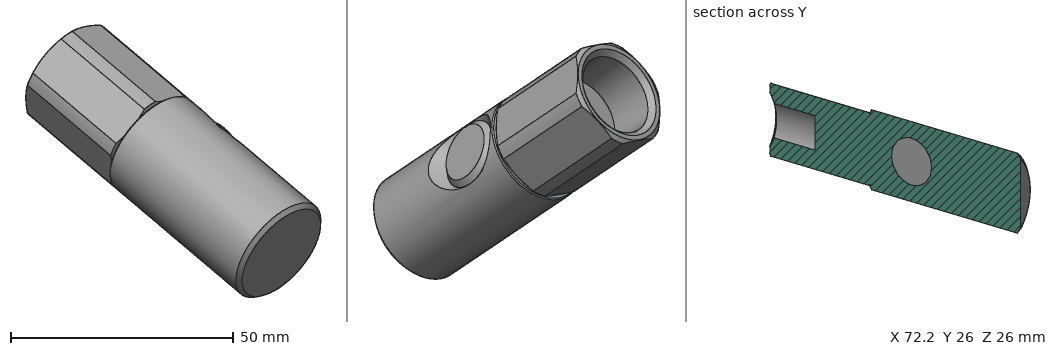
import cadquery as cq
import math

length = 72.2
body_radius = 13.0

hex_across_flats = 24.0
hex_length = 29.0
hex_half_angle = 30.0
hex_face_radius = 11.9
hex_chamfer_angle = 30.0
hex_chamfer_length = (body_radius - hex_face_radius) * math.tan(math.radians(hex_chamfer_angle))

shoulder_chamfer = 0.3
end_chamfer = 1.0

bore_radius = 9.5
bore_mouth_radius = 10.8
bore_chamfer = bore_mouth_radius - bore_radius
bore_depth = 13.0

recess_x = 40.8
dish_rim_radius = 11.0
dish_sphere_radius = 13.4

button_top = 11.3
button_top_radius = 6.75
button_slope = 45.0
button_rise = 1.5


def revolve_about_x(points):
    """Solid of revolution about X from (x, radius) points."""
    return cq.Workplane("XY").polyline(points).close().revolve(360, (0, 0, 0), (1, 0, 0))


def make_hex_end():
    across_corners = hex_across_flats / math.cos(math.radians(hex_half_angle))
    prism = (
        cq.Workplane("YZ")
        .polygon(6, across_corners)
        .extrude(hex_length)
        .rotate((0, 0, 0), (1, 0, 0), hex_half_angle)
    )
    envelope = revolve_about_x([
        (0, 0),
        (0, hex_face_radius),
        (hex_chamfer_length, body_radius),
        (hex_length - hex_chamfer_length, body_radius),
        (hex_length, hex_face_radius),
        (hex_length, 0),
    ])
    return prism.intersect(envelope)


def make_body():
    return revolve_about_x([
        (hex_length, 0),
        (hex_length, body_radius - shoulder_chamfer),
        (hex_length + shoulder_chamfer, body_radius),
        (length - end_chamfer, body_radius),
        (length, body_radius - end_chamfer),
        (length, 0),
    ])


def make_bore():
    return revolve_about_x([
        (0, 0),
        (0, bore_mouth_radius),
        (bore_chamfer, bore_radius),
        (bore_depth, bore_radius),
        (bore_depth, 0),
    ])


def make_dish():
    centre_height = body_radius + math.sqrt(dish_sphere_radius**2 - dish_rim_radius**2)
    return cq.Workplane("XY").sphere(dish_sphere_radius).translate((recess_x, centre_height, 0))


def make_button():
    base_radius = button_top_radius + button_rise / math.tan(math.radians(button_slope))
    base = button_top - button_rise
    half_profile = [
        (0, base),
        (base_radius, base),
        (button_top_radius, button_top),
        (0, button_top),
    ]
    return (
        cq.Workplane("XY")
        .polyline(half_profile)
        .close()
        .revolve(360, (0, 0, 0), (0, 1, 0))
        .translate((recess_x, 0, 0))
    )


result = (
    make_hex_end()
    .union(make_body())
    .cut(make_dish())
    .union(make_button())
    .cut(make_bore())
)